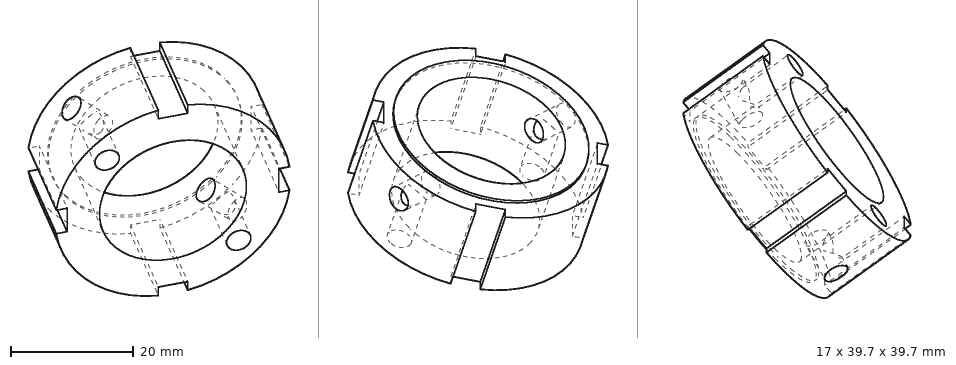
import cadquery as cq
import math

total_length = 17.0
collar_length = 0.5
collar_diameter = 33.0
bore_diameter = 25.0
slot_width = 5.0
slot_count = 4
slot_floor_radius = 18.0
slot_corner_reach = 19.85
pin_hole_diameter = 4.2
pin_hole_x = 6.0
pin_hole_tilt = 45.0
axial_hole_diameter = 4.13
axial_hole_radius = 15.85

body_radius = math.hypot(slot_corner_reach, slot_width / 2)


def make_ring():
    collar = cq.Workplane("YZ").circle(collar_diameter / 2).extrude(collar_length)
    body = (
        cq.Workplane("YZ", origin=(collar_length, 0, 0))
        .circle(body_radius)
        .extrude(total_length - collar_length)
    )
    bore = cq.Workplane("YZ").circle(bore_diameter / 2).extrude(total_length)
    return collar.union(body).cut(bore)


def make_slot(angle):
    """Spanner slot running the full length, turned about the ring axis."""
    slot = cq.Workplane("XY").box(
        total_length, slot_width, body_radius, centered=(False, True, False)
    )
    return slot.translate((0, 0, slot_floor_radius)).rotate((0, 0, 0), (1, 0, 0), angle)


def make_pin_hole():
    """Cross hole through both walls, passing through the ring axis."""
    hole = cq.Workplane("XY").circle(pin_hole_diameter / 2).extrude(body_radius, both=True)
    return hole.rotate((0, 0, 0), (1, 0, 0), pin_hole_tilt).translate((pin_hole_x, 0, 0))


def make_axial_hole(side):
    """Blind hole from the +X face that ends at the centre of the cross hole."""
    hole = (
        cq.Workplane("YZ", origin=(pin_hole_x, 0, side * axial_hole_radius))
        .circle(axial_hole_diameter / 2)
        .extrude(total_length - pin_hole_x)
    )
    return hole.rotate((0, 0, 0), (1, 0, 0), pin_hole_tilt)


result = make_ring()
for index in range(slot_count):
    result = result.cut(make_slot(index * 360 / slot_count))
result = result.cut(make_pin_hole())
for side in (1, -1):
    result = result.cut(make_axial_hole(side))